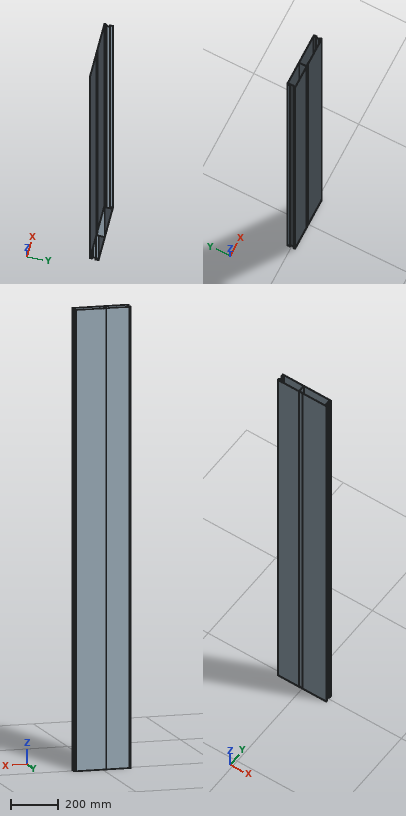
import cadquery as cq

WIDTH = 250.0
DEPTH = 38.0
LENGTH = 2000.0
SHEET = 1.0

HALF_WIDTH = WIDTH / 2
HALF_DEPTH = DEPTH / 2

GROOVE_DEPTH = 5.0
LIP_Y = 5.5
BEVEL_Y = -12.0
BEVEL_RISE = 5.0
FLOOR_END_Y = BEVEL_Y

REAR_LENGTH = 1998.0

WEB_X = -15.0
FLANGE_END_X = 2.0

FLOOR_X = HALF_WIDTH - GROOVE_DEPTH


def bar(x_min, x_max, y_min, y_max, length):
    """Upright rectangular bar standing on Z = 0."""
    return cq.Workplane("XY").box(x_max - x_min, y_max - y_min, length, centered=False).translate(
        (x_min, y_min, 0)
    )


def both_sides(half):
    """Join a shape with its mirror image across the YZ plane."""
    return half.union(half.mirror("YZ"))


def front_shell():
    """Front sheet with side walls that slope inward to the groove floor."""
    sheet = bar(-HALF_WIDTH, HALF_WIDTH, -HALF_DEPTH, -HALF_DEPTH + SHEET, LENGTH)
    bevel_slope = BEVEL_RISE / GROOVE_DEPTH
    bevel_end_y = BEVEL_Y + BEVEL_RISE
    inner_x = HALF_WIDTH - SHEET
    inner_bevel_y = BEVEL_Y - SHEET / 2
    inner_end_y = inner_bevel_y + bevel_slope * (inner_x - FLOOR_X)
    side = (
        cq.Workplane("XY")
        .moveTo(HALF_WIDTH, -HALF_DEPTH)
        .lineTo(HALF_WIDTH, BEVEL_Y)
        .lineTo(FLOOR_X, bevel_end_y)
        .lineTo(FLOOR_X, inner_end_y)
        .lineTo(inner_x, inner_bevel_y)
        .lineTo(inner_x, -HALF_DEPTH)
        .close()
        .extrude(LENGTH)
    )
    return sheet.union(both_sides(side))


def rear_shell():
    """Rear sheet with a hollow edge on each side and the walls that form the groove floors."""
    sheet = bar(-HALF_WIDTH, HALF_WIDTH, HALF_DEPTH - SHEET, HALF_DEPTH, REAR_LENGTH)
    outer_wall = bar(HALF_WIDTH - SHEET, HALF_WIDTH, LIP_Y, HALF_DEPTH, REAR_LENGTH)
    lip = bar(FLOOR_X - SHEET, HALF_WIDTH, LIP_Y, LIP_Y + SHEET, REAR_LENGTH)
    floor_wall = bar(FLOOR_X - SHEET, FLOOR_X, FLOOR_END_Y, HALF_DEPTH, REAR_LENGTH)
    return sheet.union(both_sides(outer_wall.union(lip).union(floor_wall)))


def stiffener():
    """L-shaped strip: a web between the two sheets and a flange against the front sheet."""
    front_face = -HALF_DEPTH + SHEET
    web = bar(WEB_X, WEB_X + SHEET, front_face, HALF_DEPTH - SHEET, LENGTH)
    flange = bar(WEB_X, FLANGE_END_X, front_face, front_face + SHEET, LENGTH)
    return web.union(flange)


front = front_shell()
rear = rear_shell()
web_strip = stiffener()

result = cq.Compound.makeCompound([front.val(), rear.val(), web_strip.val()])